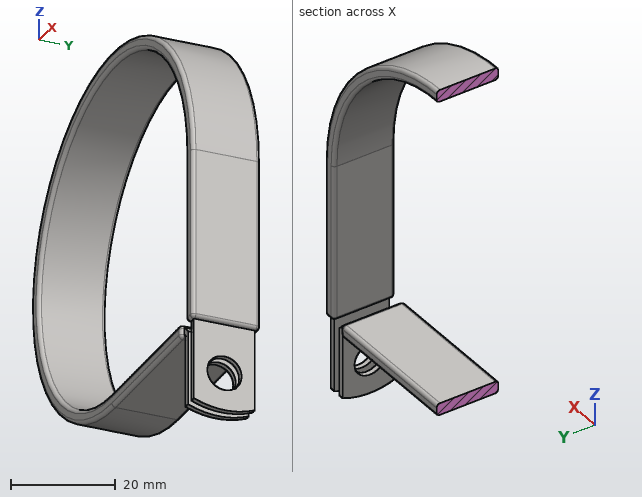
import cadquery as cq
import math


strap_thickness = 1.219
strap_width = 12.7
cushion_wall = 0.794
cushion_thickness = strap_thickness + 2 * cushion_wall
cushion_width = strap_width + 2 * cushion_wall

loop_inner_radius = 34.925
loop_outer_radius = loop_inner_radius + cushion_thickness
loop_mid_radius = loop_inner_radius + cushion_thickness / 2

side_leg_end = loop_inner_radius + cushion_wall
bottom_leg_end = 32.35

tab_gap = 1.588
tab_tip_z = -53.9
tab_tip_sagitta = 1.25
hole_diameter = 7.14
hole_z = -46.04

side_tab_x = loop_mid_radius
bent_tab_x = side_tab_x - strap_thickness - tab_gap

bend_angle = 45
bend_setback = 1.05
bend_start_x = bent_tab_x - bend_setback
bend_end_z = -loop_mid_radius - bend_setback

tab_embed = 2 * cushion_wall
tab_root_z = -side_leg_end + tab_embed
bent_tab_root_x = bottom_leg_end - tab_embed


def extrude_along_y(profile, depth):
    """Extrude an XZ profile symmetrically about the XZ plane."""
    return profile.extrude(depth / 2, both=True)


def diagonal_point(radius):
    """Point halfway round the loop, up and to the left of its centre."""
    return (-radius * math.sqrt(0.5), radius * math.sqrt(0.5))


def make_cushion():
    """Three-quarter loop with two straight tangent legs, rounded on every outer edge."""
    profile = (
        cq.Workplane("XZ")
        .moveTo(loop_outer_radius, -side_leg_end)
        .lineTo(loop_outer_radius, 0)
        .threePointArc(diagonal_point(loop_outer_radius), (0, -loop_outer_radius))
        .lineTo(bottom_leg_end, -loop_outer_radius)
        .lineTo(bottom_leg_end, -loop_inner_radius)
        .lineTo(0, -loop_inner_radius)
        .threePointArc(diagonal_point(loop_inner_radius), (loop_inner_radius, 0))
        .lineTo(loop_inner_radius, -side_leg_end)
        .close()
    )
    cushion = extrude_along_y(profile, cushion_width)
    side_leg_end_centre = (loop_mid_radius, 0, -side_leg_end)
    bottom_leg_end_centre = (bottom_leg_end, 0, -loop_mid_radius)
    rims = cushion.faces("<Y or >Y").edges()
    side_leg_edges = cushion.faces(cq.selectors.NearestToPointSelector(side_leg_end_centre)).edges()
    bottom_leg_edges = cushion.faces(cq.selectors.NearestToPointSelector(bottom_leg_end_centre)).edges()
    return rims.add(side_leg_edges).add(bottom_leg_edges).fillet(cushion_wall)


def make_side_tab():
    """Flat strap end continuing straight down from the side leg."""
    left_x = side_tab_x - strap_thickness / 2
    profile = (
        cq.Workplane("XZ")
        .moveTo(left_x, tab_root_z)
        .lineTo(left_x, tab_tip_z)
        .lineTo(left_x + strap_thickness, tab_tip_z)
        .lineTo(left_x + strap_thickness, tab_root_z)
        .close()
    )
    return extrude_along_y(profile, strap_width)


def make_bent_tab():
    """Strap end leaving the bottom leg and turning down through two equal bends."""
    half = strap_thickness / 2
    miter = half * math.tan(math.radians(bend_angle / 2))
    top_z = -loop_mid_radius + half
    bottom_z = -loop_mid_radius - half
    profile = (
        cq.Workplane("XZ")
        .moveTo(bent_tab_root_x, top_z)
        .lineTo(bend_start_x + miter, top_z)
        .lineTo(bent_tab_x + half, bend_end_z + miter)
        .lineTo(bent_tab_x + half, tab_tip_z)
        .lineTo(bent_tab_x - half, tab_tip_z)
        .lineTo(bent_tab_x - half, bend_end_z - miter)
        .lineTo(bend_start_x - miter, bottom_z)
        .lineTo(bent_tab_root_x, bottom_z)
        .close()
    )
    return extrude_along_y(profile, strap_width)


def make_tab_outline():
    """Block with a bowed lower end that trims both tab tips to a shallow arc."""
    half_width = strap_width / 2
    shoulder_z = tab_tip_z + tab_tip_sagitta
    return (
        cq.Workplane("YZ")
        .moveTo(-half_width, 0)
        .lineTo(-half_width, shoulder_z)
        .threePointArc((0, tab_tip_z), (half_width, shoulder_z))
        .lineTo(half_width, 0)
        .close()
        .extrude(loop_outer_radius)
    )


def make_bolt_hole():
    """Cylinder along X through both tabs."""
    return cq.Workplane("YZ").center(0, hole_z).circle(hole_diameter / 2).extrude(loop_outer_radius)


tabs = make_side_tab().add(make_bent_tab()).combine()
tabs = tabs.intersect(make_tab_outline()).cut(make_bolt_hole())
result = make_cushion().union(tabs)